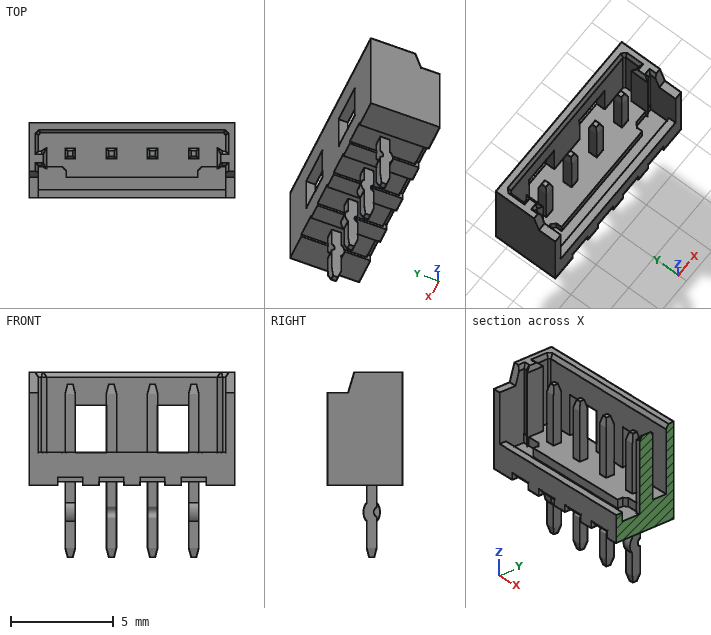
import cadquery as cq


WIDTH = 10.0
BACK_Y = 1.5
FRONT_Y = -2.15
HEIGHT = 5.5
SIDE_WALL = 0.45
BACK_WALL = 0.5
FRONT_WALL = 0.4

SIDE_WALL_LOW_TOP = 4.5
SLOPE_TOP_Y = -0.85
SLOPE_FOOT_Y = -1.15

FLOOR_Z = 1.6
CORNER_CUT = 0.1
RIM_DEPTH = 0.25
RIM_SPREAD = 0.15
FRONT_CLEARANCE = 1.0

RIB_Y = -0.24
RIB_REACH = 0.4
RIB_NECK_LENGTH = 0.15
RIB_NECK_HALF = 0.35
RIB_TIP_HALF = 0.51

POCKET_FLOOR_Z = 1.1
POCKET_SIDE_Y = -0.635
PLATFORM_FRONT_Y = -1.15
PLATFORM_HALF_WIDTH = 3.2
POCKET_CHAMFER = 0.2

WINDOW_INNER_X = 1.0
WINDOW_OUTER_X = 3.0
WINDOW_TOP = 3.88

CHANNEL_WIDTH = 1.2
CHANNEL_HEIGHT = 0.17
CHANNEL_MOUTH_HEIGHT = 0.4
CHANNEL_MOUTH_DEPTH = 0.2

PITCH = 2.0
PIN_COUNT = 4
PIN_SIZE = 0.5
PIN_TIP_SIZE = 0.26
PIN_TOP = 4.9
PIN_BOTTOM = -3.5
PIN_TIP_LENGTH = 0.46

KINK_Z = -1.3
BULGE_HALF_HEIGHT = 0.45
BULGE_DEPTH = 0.16
HOLLOW_HALF_HEIGHT = 0.24
HOLLOW_DEPTH = 0.15
HOLLOW_EDGE_RADIUS = 0.09

HALF_WIDTH = WIDTH / 2
CAVITY_HALF = HALF_WIDTH - SIDE_WALL
CAVITY_BACK_Y = BACK_Y - BACK_WALL
FIRST_PIN_X = -(PIN_COUNT - 1) * PITCH / 2
PIN_XS = [FIRST_PIN_X + i * PITCH for i in range(PIN_COUNT)]


def box(x0, x1, y0, y1, z0, z1):
    """Axis-aligned box between two opposite corners."""
    return cq.Workplane("XY").box(x1 - x0, y1 - y0, z1 - z0, centered=False).translate((x0, y0, z0))


def make_shell():
    """Solid block with the sloped step at the front of its top."""
    return (
        cq.Workplane("YZ", origin=(-HALF_WIDTH, 0, 0))
        .moveTo(FRONT_Y, 0)
        .lineTo(BACK_Y, 0)
        .lineTo(BACK_Y, HEIGHT)
        .lineTo(SLOPE_TOP_Y, HEIGHT)
        .lineTo(SLOPE_FOOT_Y, SIDE_WALL_LOW_TOP)
        .lineTo(FRONT_Y, SIDE_WALL_LOW_TOP)
        .close()
        .extrude(WIDTH)
    )


def rib_profile():
    """Right-hand rib plan points, from the front of its root round to the back."""
    neck_x = CAVITY_HALF - RIB_NECK_LENGTH
    tip_x = CAVITY_HALF - RIB_REACH
    return [
        (CAVITY_HALF, RIB_Y - RIB_NECK_HALF),
        (neck_x, RIB_Y - RIB_NECK_HALF),
        (tip_x, RIB_Y - RIB_TIP_HALF),
        (tip_x, RIB_Y + RIB_TIP_HALF),
        (neck_x, RIB_Y + RIB_NECK_HALF),
        (CAVITY_HALF, RIB_Y + RIB_NECK_HALF),
    ]


def cavity_outline(z, front_y):
    """Cavity plan at height z: cut back corners and a dovetail rib on each side."""
    right_side = [
        (CAVITY_HALF, front_y),
        *rib_profile(),
        (CAVITY_HALF, CAVITY_BACK_Y - CORNER_CUT),
        (CAVITY_HALF - CORNER_CUT, CAVITY_BACK_Y),
    ]
    left_side = [(-x, y) for x, y in reversed(right_side)]
    return cq.Workplane("XY", origin=(0, 0, z)).polyline(right_side + left_side).close()


def make_cavity():
    """Cavity above the raised floor, with its rim flared at the top."""
    beyond_front = FRONT_Y - FRONT_CLEARANCE
    body = cavity_outline(FLOOR_Z, beyond_front).extrude(HEIGHT - FLOOR_Z)
    rim_start = cavity_outline(HEIGHT - RIM_DEPTH, beyond_front).wire().val()
    rim_end = rim_start.offset2D(RIM_SPREAD, "intersection")[0].translate((0, 0, RIM_DEPTH))
    rim = cq.Workplane(cq.Solid.makeLoft([rim_start, rim_end], True))
    return body.union(rim)


def make_pocket():
    """Lower pocket behind the front wall, reaching back to the ribs at both ends."""
    wall_back = FRONT_Y + FRONT_WALL
    pocket = box(-CAVITY_HALF, CAVITY_HALF, wall_back, PLATFORM_FRONT_Y, POCKET_FLOOR_Z, FLOOR_Z)
    notch = box(PLATFORM_HALF_WIDTH, CAVITY_HALF, wall_back, POCKET_SIDE_Y, POCKET_FLOOR_Z, FLOOR_Z)
    notch = notch.edges("|Z and <X").edges(">Y").chamfer(POCKET_CHAMFER)
    pocket = pocket.union(notch).union(notch.mirror("YZ"))
    cavity_plan = cavity_outline(POCKET_FLOOR_Z, wall_back).extrude(FLOOR_Z - POCKET_FLOOR_Z)
    return pocket.intersect(cavity_plan)


def make_windows():
    """Two openings through the back wall, level with the raised floor."""
    right = box(WINDOW_INNER_X, WINDOW_OUTER_X, CAVITY_BACK_Y, BACK_Y, FLOOR_Z, WINDOW_TOP)
    return right.union(right.mirror("YZ"))


def make_channel(x):
    """Underside channel at one pin, taller at its front mouth."""
    x0 = x - CHANNEL_WIDTH / 2
    x1 = x + CHANNEL_WIDTH / 2
    mouth_y = FRONT_Y + CHANNEL_MOUTH_DEPTH
    run = box(x0, x1, FRONT_Y, BACK_Y, 0, CHANNEL_HEIGHT)
    return run.union(box(x0, x1, FRONT_Y, mouth_y, 0, CHANNEL_MOUTH_HEIGHT))


def kink_segment(y, half_height, depth):
    """Arc-backed lens section along the pin width, bulging toward -Y from the plane y."""
    return (
        cq.Workplane("YZ", origin=(-PIN_SIZE / 2, 0, 0))
        .moveTo(y, KINK_Z - half_height)
        .threePointArc((y - depth, KINK_Z), (y, KINK_Z + half_height))
        .close()
        .extrude(PIN_SIZE)
    )


def pin_tip(z, length):
    """Tapered pin end starting at height z; a negative length points down."""
    return (
        cq.Workplane("XY", origin=(0, 0, z))
        .rect(PIN_SIZE, PIN_SIZE)
        .workplane(offset=length)
        .rect(PIN_TIP_SIZE, PIN_TIP_SIZE)
        .loft(ruled=True)
    )


def make_pin():
    """Square pin on the Z axis, kinked toward -Y below the housing."""
    half = PIN_SIZE / 2
    shank_bottom = PIN_BOTTOM + PIN_TIP_LENGTH
    shank_top = PIN_TOP - PIN_TIP_LENGTH
    pin = box(-half, half, -half, half, shank_bottom, shank_top)
    pin = pin.union(pin_tip(shank_top, PIN_TIP_LENGTH))
    pin = pin.union(pin_tip(shank_bottom, -PIN_TIP_LENGTH))
    pin = pin.union(kink_segment(-half, BULGE_HALF_HEIGHT, BULGE_DEPTH))
    pin = pin.cut(kink_segment(half, HOLLOW_HALF_HEIGHT, HOLLOW_DEPTH))
    for edge_z in (KINK_Z - HOLLOW_HALF_HEIGHT, KINK_Z + HOLLOW_HALF_HEIGHT):
        hollow_edge = cq.selectors.NearestToPointSelector((0, half, edge_z))
        pin = pin.edges("|X").edges(hollow_edge).fillet(HOLLOW_EDGE_RADIUS)
    return pin


housing = make_shell().cut(make_cavity())
housing = housing.cut(make_pocket()).cut(make_windows())
for pin_x in PIN_XS:
    housing = housing.cut(make_channel(pin_x))

result = housing
front_kinked_pin = make_pin()
back_kinked_pin = front_kinked_pin.mirror("XZ")
for pin_x in PIN_XS:
    is_outer = abs(pin_x) == max(PIN_XS)
    pin = front_kinked_pin if is_outer else back_kinked_pin
    result = result.union(pin.translate((pin_x, 0, 0)))